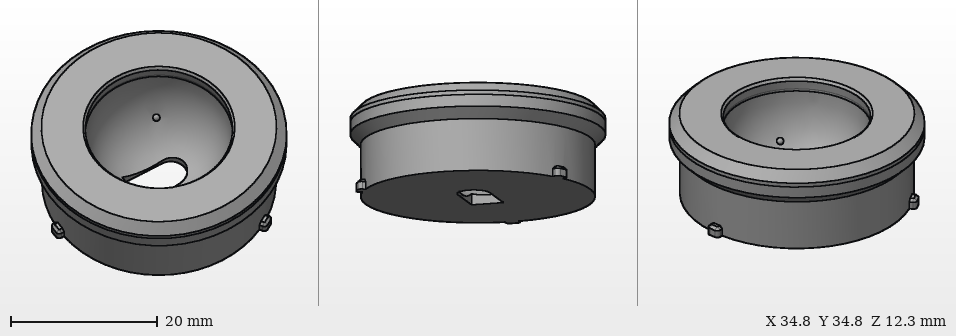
import cadquery as cq
import math

total_height = 12.3
flange_radius = 17.42
barrel_radius = 16.0
flange_height = 5.05
cap_thickness = 2.0
rim_bevel = 1.4
flare = flange_radius - barrel_radius
seam_z = total_height - cap_thickness
flange_bottom_z = total_height - flange_height

bowl_radius = 10.1
straight_wall_height = 0.4
opening_bevel_width = 0.3
opening_bevel_depth = 0.42
neck_start_z = seam_z + straight_wall_height
neck_top_z = total_height - opening_bevel_depth

window_width = 4.53
window_front_y = -4.45
window_back_y = 4.18

station_angles = [-90, 30, 150]
bump_radius = 0.52
bump_circle_radius = 7.98
bump_depth = 6.48

lug_outer_radius = 16.95
lug_width = 2.0
lug_height = 1.45
lug_root_depth = 1.05
lug_corner_radius = 0.52
lug_top_bevel = 0.42


def neck_radius(z):
    """Radius of the spherical neck at a given height."""
    return math.sqrt(bowl_radius**2 - (z - neck_start_z) ** 2)


def make_cap():
    """Ring with a bevelled rim and an opening that narrows spherically to a bevelled mouth."""
    neck_top_radius = neck_radius(neck_top_z)
    neck_middle_z = (neck_start_z + neck_top_z) / 2
    return (
        cq.Workplane("XZ")
        .moveTo(bowl_radius, seam_z)
        .lineTo(flange_radius, seam_z)
        .lineTo(flange_radius, total_height - rim_bevel)
        .lineTo(flange_radius - rim_bevel, total_height)
        .lineTo(neck_top_radius + opening_bevel_width, total_height)
        .lineTo(neck_top_radius, neck_top_z)
        .threePointArc((neck_radius(neck_middle_z), neck_middle_z), (bowl_radius, neck_start_z))
        .close()
        .revolve(360, (0, 0), (0, 1))
    )


def make_lug(angle):
    """Block standing out of the barrel, rounded and bevelled at its outer end."""
    inner_radius = barrel_radius - lug_root_depth
    lug = (
        cq.Workplane("XY")
        .center((inner_radius + lug_outer_radius) / 2, 0)
        .rect(lug_outer_radius - inner_radius, lug_width)
        .extrude(lug_height)
        .edges("|Z and >X").fillet(lug_corner_radius)
        .faces(">Z").edges("not <X").chamfer(lug_top_bevel)
    )
    return lug.rotate((0, 0, 0), (0, 0, 1), angle)


def make_bump(angle):
    """Small ball partly sunk into the bowl wall."""
    ball = cq.Workplane("XY").sphere(bump_radius)
    ball = ball.translate((bump_circle_radius, 0, seam_z - bump_depth))
    return ball.rotate((0, 0, 0), (0, 0, 1), angle)


def make_window():
    """Upright cutter: square front end, semicircular back end."""
    half_width = window_width / 2
    arc_start_y = window_back_y - half_width
    return (
        cq.Workplane("XY")
        .moveTo(-half_width, window_front_y)
        .lineTo(half_width, window_front_y)
        .lineTo(half_width, arc_start_y)
        .threePointArc((0, window_back_y), (-half_width, arc_start_y))
        .close()
        .extrude(seam_z)
    )


def make_base():
    """Flanged barrel with a hemispherical bowl, window, bumps and lugs."""
    body = (
        cq.Workplane("XZ")
        .polyline([
            (0, 0),
            (barrel_radius, 0),
            (barrel_radius, flange_bottom_z),
            (flange_radius, flange_bottom_z + flare),
            (flange_radius, seam_z),
            (0, seam_z),
        ])
        .close()
        .revolve(360, (0, 0), (0, 1))
    )
    bowl = cq.Workplane("XY").sphere(bowl_radius).translate((0, 0, seam_z))
    base = body.cut(bowl).cut(make_window())
    for angle in station_angles:
        base = base.union(make_bump(angle)).union(make_lug(angle))
    return base


cap = make_cap()
base = make_base()

result = cq.Compound.makeCompound([cap.val(), base.solids().val()])